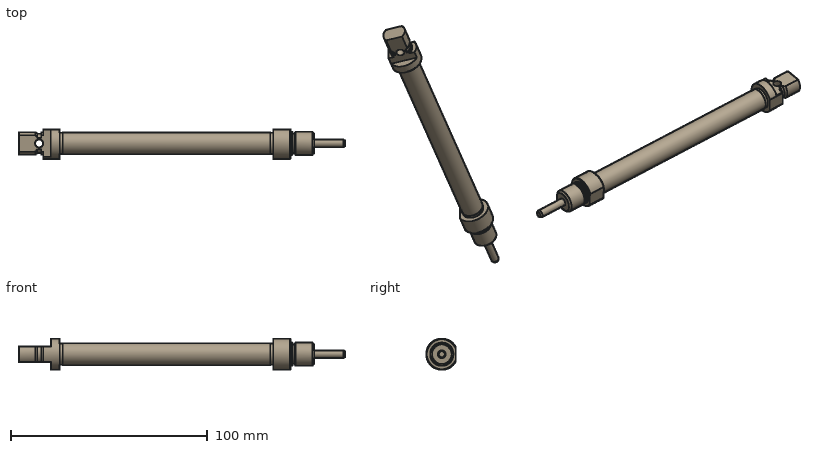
import cadquery as cq

OVERALL_LENGTH = 166.0

CAP_RADIUS = 8.0
CAP_FLAT_Y = 7.1
GROOVE_RADIUS = 5.0

REAR_SPIGOT_RADIUS = 5.8
EYE_THICKNESS = 8.0
EYE_FLAT_LENGTH = 16.3
PIN_HOLE_X = 10.3
PIN_HOLE_DIAMETER = 4.0
REAR_SPIGOT_END = 8.3
REAR_GROOVE_START = 9.5
REAR_GROOVE_END = 11.3
REAR_CAP_START = 12.3
REAR_CAP_END = 20.8

TUBE_RADIUS = 5.6
TUBE_LENGTH = 108.5
TUBE_NECK_LENGTH = 1.5
TUBE_NECK_DEPTH = 0.2

FRONT_SPIGOT_RADIUS = 6.0
FRONT_CAP_LENGTH = 9.0
FRONT_CAP_CHAMFER = 0.3
COLLAR_LENGTH = 1.0
COLLAR_CHAMFER = 0.3
FRONT_GROOVE_TAPER_LENGTH = 0.5
FRONT_GROOVE_LENGTH = 1.0
FRONT_SPIGOT_LENGTH = 9.5
FRONT_SPIGOT_CHAMFER = 1.0

ROD_RADIUS = 2.0
ROD_CHAMFER_LENGTH = 1.0
ROD_CHAMFER_DEPTH = 0.5

FRONT_CAP_START = REAR_CAP_END + TUBE_LENGTH


def turned(profile):
    """Revolve (x, radius) points, closed along the X axis, about that axis."""
    first_x = profile[0][0]
    last_x = profile[-1][0]
    outline = [(first_x, 0), *profile, (last_x, 0)]
    return cq.Workplane("XZ").polyline(outline).close().revolve(360, (0, 0, 0), (1, 0, 0))


def slab(start, end, low_y, high_y, low_z, high_z):
    """Box given by its limits along X, Y and Z."""
    box = cq.Workplane("XY").box(end - start, high_y - low_y, high_z - low_z, centered=False)
    return box.translate((start, low_y, low_z))


def cut_side_flat(cap):
    """Trim a cap to the flat on its +Y side."""
    return cap.cut(slab(0, OVERALL_LENGTH, CAP_FLAT_Y, CAP_RADIUS, -CAP_RADIUS, CAP_RADIUS))


def make_rear_cap():
    cap = turned([
        (0, REAR_SPIGOT_RADIUS),
        (REAR_SPIGOT_END, REAR_SPIGOT_RADIUS),
        (REAR_GROOVE_START, GROOVE_RADIUS),
        (REAR_GROOVE_END, GROOVE_RADIUS),
        (REAR_GROOVE_END, REAR_SPIGOT_RADIUS),
        (REAR_CAP_START, REAR_SPIGOT_RADIUS),
        (REAR_CAP_START, CAP_RADIUS),
        (REAR_CAP_END, CAP_RADIUS),
    ])
    cap = cut_side_flat(cap)

    half_eye = EYE_THICKNESS / 2
    cap = cap.cut(slab(0, EYE_FLAT_LENGTH, -CAP_RADIUS, CAP_RADIUS, half_eye, CAP_RADIUS))
    cap = cap.cut(slab(0, EYE_FLAT_LENGTH, -CAP_RADIUS, CAP_RADIUS, -CAP_RADIUS, -half_eye))

    pin_hole = (
        cq.Workplane("XY")
        .center(PIN_HOLE_X, 0)
        .circle(PIN_HOLE_DIAMETER / 2)
        .extrude(EYE_THICKNESS / 2, both=True)
    )
    return cap.cut(pin_hole)


def make_tube():
    neck_radius = TUBE_RADIUS - TUBE_NECK_DEPTH
    rear_neck_end = REAR_CAP_END + TUBE_NECK_LENGTH
    front_neck_start = FRONT_CAP_START - TUBE_NECK_LENGTH
    return turned([
        (REAR_CAP_END, neck_radius),
        (rear_neck_end, neck_radius),
        (rear_neck_end, TUBE_RADIUS),
        (front_neck_start, TUBE_RADIUS),
        (front_neck_start, neck_radius),
        (FRONT_CAP_START, neck_radius),
    ])


def make_front_cap():
    shoulder = FRONT_CAP_START + FRONT_CAP_LENGTH
    collar_end = shoulder + COLLAR_LENGTH
    groove_end = collar_end + FRONT_GROOVE_LENGTH
    spigot_start = groove_end + FRONT_GROOVE_TAPER_LENGTH
    spigot_end = spigot_start + FRONT_SPIGOT_LENGTH
    cap = turned([
        (FRONT_CAP_START, CAP_RADIUS),
        (shoulder - FRONT_CAP_CHAMFER, CAP_RADIUS),
        (shoulder, CAP_RADIUS - FRONT_CAP_CHAMFER),
        (shoulder, FRONT_SPIGOT_RADIUS),
        (collar_end - COLLAR_CHAMFER, FRONT_SPIGOT_RADIUS),
        (collar_end, FRONT_SPIGOT_RADIUS - COLLAR_CHAMFER),
        (collar_end, GROOVE_RADIUS),
        (groove_end, GROOVE_RADIUS),
        (spigot_start, FRONT_SPIGOT_RADIUS),
        (spigot_end - FRONT_SPIGOT_CHAMFER, FRONT_SPIGOT_RADIUS),
        (spigot_end, FRONT_SPIGOT_RADIUS - FRONT_SPIGOT_CHAMFER),
    ])
    cap = cut_side_flat(cap)

    bore = turned([(FRONT_CAP_START, ROD_RADIUS), (spigot_end, ROD_RADIUS)])
    return cap.cut(bore)


def make_rod():
    """Rod from the tube's end face, through the front cap, to its chamfered tip."""
    return turned([
        (FRONT_CAP_START, ROD_RADIUS),
        (OVERALL_LENGTH - ROD_CHAMFER_LENGTH, ROD_RADIUS),
        (OVERALL_LENGTH, ROD_RADIUS - ROD_CHAMFER_DEPTH),
    ])


rear_cap = make_rear_cap()
tube = make_tube()
front_cap = make_front_cap()
rod = make_rod()

result = cq.Compound.makeCompound([rear_cap.val(), tube.val(), front_cap.val(), rod.val()])